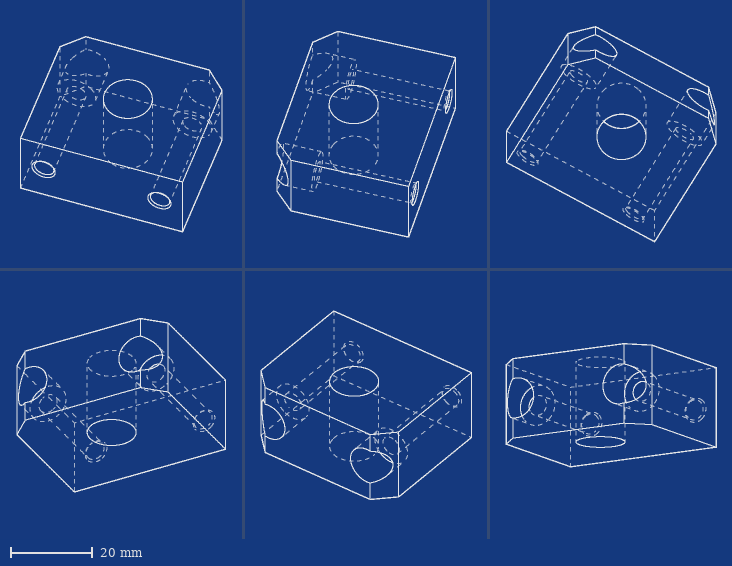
import cadquery as cq

width = 42.0
depth = 35.0
height = 20.0
corner_chamfer = 5.0

bore_diameter = 12.0
bore_from_front = 20.0

hole_spacing = 30.0
hole_diameter = 5.0
countersink_diameter = 6.0
countersink_depth = (countersink_diameter - hole_diameter) / 2
counterbore_diameter = 10.0
counterbore_depth = 10.0

front_y = -depth / 2
back_y = depth / 2


def make_block():
    """Rectangular block with its two rear vertical edges chamfered."""
    block = cq.Workplane("XY").box(width, depth, height)
    return block.edges("|Z and >Y").chamfer(corner_chamfer)


def make_bore():
    """Cutter for the vertical bore."""
    bore = cq.Workplane("XY").circle(bore_diameter / 2).extrude(height / 2, both=True)
    return bore.translate((0, front_y + bore_from_front, 0))


def make_screw_hole(x):
    """Cutter for one hole: countersunk at the front, counterbored at the back."""
    hole_radius = hole_diameter / 2
    counterbore_radius = counterbore_diameter / 2
    counterbore_floor_y = back_y - counterbore_depth
    half_profile = (
        cq.Workplane("XY")
        .moveTo(0, front_y)
        .lineTo(countersink_diameter / 2, front_y)
        .lineTo(hole_radius, front_y + countersink_depth)
        .lineTo(hole_radius, counterbore_floor_y)
        .lineTo(counterbore_radius, counterbore_floor_y)
        .lineTo(counterbore_radius, back_y)
        .lineTo(0, back_y)
        .close()
    )
    cutter = half_profile.revolve(360, (0, 0, 0), (0, 1, 0))
    return cutter.translate((x, 0, 0))


result = make_block().cut(make_bore())
for side in (-1, 1):
    result = result.cut(make_screw_hole(side * hole_spacing / 2))